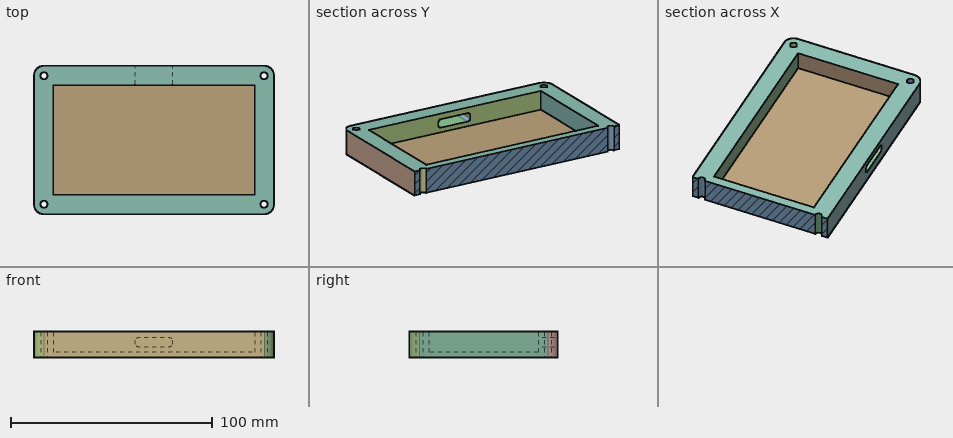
import cadquery as cq

LENGTH = 119.19
WIDTH = 73.75
HEIGHT = 13.0
CORNER_RADIUS = 5.0

POCKET_LENGTH = 100.0
WALL = (LENGTH - POCKET_LENGTH) / 2
POCKET_WIDTH = WIDTH - 2 * WALL
FLOOR = 3.0

SCREW_HOLE_DIAMETER = 3.4
SCREW_SPACING_X = LENGTH - 2 * CORNER_RADIUS
SCREW_SPACING_Y = WIDTH - 2 * CORNER_RADIUS

OPENING_LENGTH = 18.5
OPENING_HEIGHT = 4.5
OPENING_CORNER_RADIUS = 1.5
OPENING_CENTER_X = -0.25
OPENING_SILL = 2.5
OPENING_CENTER_Z = FLOOR + OPENING_SILL + OPENING_HEIGHT / 2


def make_block():
    """Solid tray blank, base at Z = 0, with rounded vertical corners."""
    block = cq.Workplane("XY").box(LENGTH, WIDTH, HEIGHT, centered=(True, True, False))
    return block.edges("|Z").fillet(CORNER_RADIUS)


def make_pocket():
    """Rectangular cavity from the floor up to the rim."""
    pocket_floor = cq.Workplane("XY").workplane(offset=FLOOR)
    return pocket_floor.rect(POCKET_LENGTH, POCKET_WIDTH).extrude(HEIGHT - FLOOR)


def make_screw_holes():
    """Four through holes, one in each corner."""
    corners = cq.Workplane("XY").rect(SCREW_SPACING_X, SCREW_SPACING_Y, forConstruction=True).vertices()
    return corners.circle(SCREW_HOLE_DIAMETER / 2).extrude(HEIGHT)


def make_cable_opening():
    """Opening running from the pocket out through the +Y wall."""
    outer_face = cq.Workplane("XZ", origin=(OPENING_CENTER_X, WIDTH / 2, OPENING_CENTER_Z))
    opening = outer_face.rect(OPENING_LENGTH, OPENING_HEIGHT).extrude(WALL)
    return opening.edges("|Y").fillet(OPENING_CORNER_RADIUS)


result = make_block().cut(make_pocket()).cut(make_screw_holes()).cut(make_cable_opening())